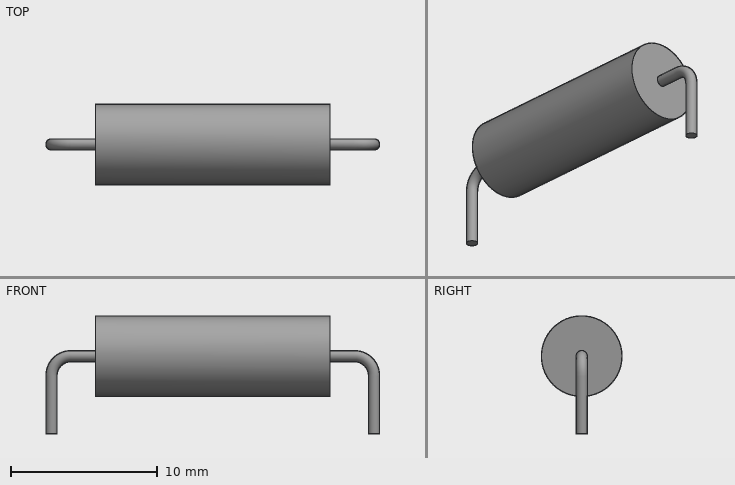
import cadquery as cq

overall_length = 22.75
overall_height = 8.05
body_length = 16.0
body_diameter = 5.5
lead_diameter = 0.77
bend_outer_radius = 1.7

lead_radius = lead_diameter / 2
bend_radius = bend_outer_radius - lead_radius
body_end = body_length / 2
lead_x = overall_length / 2 - lead_radius
bend_start = lead_x - bend_radius
lead_bottom = body_diameter / 2 - overall_height


def make_body():
    """Plain cylinder lying along X."""
    return (
        cq.Workplane("YZ", origin=(-body_end, 0, 0))
        .circle(body_diameter / 2)
        .extrude(body_length)
    )


def make_lead(side):
    """Round wire leaving one body end (side is -1 or 1) and bending down."""
    path = (
        cq.Workplane("XZ")
        .moveTo(side * body_end, 0)
        .lineTo(side * bend_start, 0)
        .tangentArcPoint((side * lead_x, -bend_radius), relative=False)
        .lineTo(side * lead_x, lead_bottom)
    )
    return (
        cq.Workplane("YZ", origin=(side * body_end, 0, 0))
        .circle(lead_radius)
        .sweep(path)
    )


body = make_body()
leads = [make_lead(side) for side in (-1, 1)]

result = cq.Compound.makeCompound([body.val(), *[lead.val() for lead in leads]])